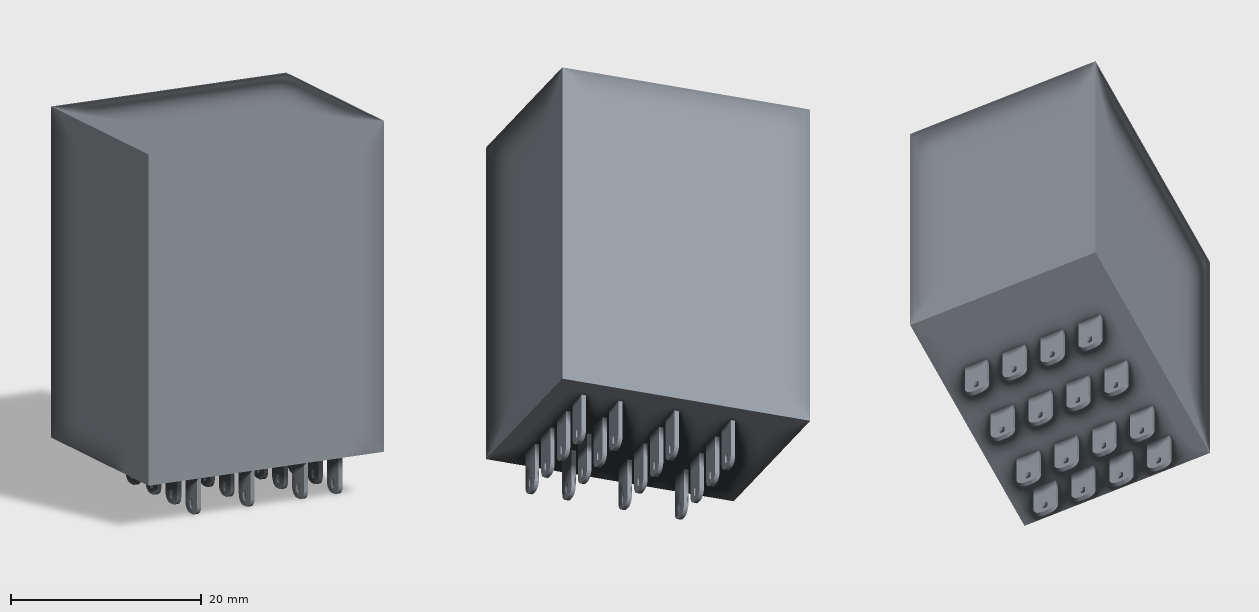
import cadquery as cq

total_height = 41.0
case_width = 21.5
case_depth = 28.0
pin_length = 5.0
case_height = total_height - pin_length

pin_width = 2.6
pin_thickness = 0.5
pin_tip_radius = 1.02
column_pitch = 4.4
column_count = 4
row_pitch = 6.35
close_row_gap = 4.15
middle_row_y = -0.1
back_row_y = middle_row_y + row_pitch + close_row_gap
row_positions = [middle_row_y - row_pitch, middle_row_y, middle_row_y + row_pitch, back_row_y]

eye_width = 0.6
eye_height = 1.05
eye_above_tip = 1.1


def make_case():
    return cq.Workplane("XY").box(case_width, case_depth, case_height, centered=(True, True, False))


def make_pin():
    """One pin hanging below Z = 0, centred on X = Y = 0."""
    blade = (
        cq.Workplane("XY")
        .box(pin_width, pin_thickness, pin_length, centered=(True, True, False))
        .translate((0, 0, -pin_length))
        .edges("|Y and <Z")
        .fillet(pin_tip_radius)
    )
    eye = (
        cq.Workplane("XZ")
        .center(0, eye_above_tip - pin_length)
        .slot2D(eye_height, eye_width, angle=90)
        .extrude(pin_thickness, both=True)
    )
    return blade.cut(eye)


pin = make_pin()
result = make_case()
for column in range(column_count):
    pin_x = (column - (column_count - 1) / 2) * column_pitch
    for pin_y in row_positions:
        result = result.union(pin.translate((pin_x, pin_y, 0)))